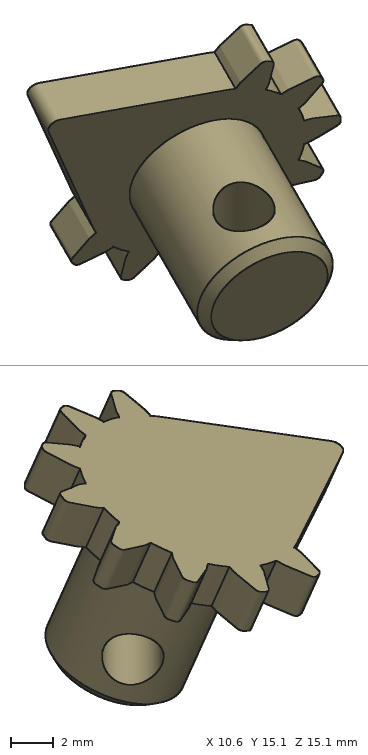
import cadquery as cq
import math

overall_size = 15.1
overall_length = 10.6
plate_thickness = 2.4

root_radius = 5.59
corner_direction = 45.0
corner_half_angle = 30.0
corner_round = 0.5

first_tooth_angle = 120.0
tooth_pitch = 30.0
tooth_count = 8
tooth_root_half_width = 0.9
flank_start_distance = 5.93
flank_start_half_width = 0.85
tooth_tip_half_width = 0.33
tooth_tip_round = 0.3

shaft_diameter = 7.0
shaft_chamfer = 0.5
cross_hole_diameter = 2.9
cross_hole_x = 7.7

corner_round_distance = (root_radius - corner_round) / math.sin(math.radians(corner_half_angle))
corner_reach = corner_round_distance * math.cos(math.radians(corner_direction)) + corner_round
tip_radius = overall_size - corner_reach


def polar(radius, angle):
    """Point in the sketch plane, with the angle in degrees."""
    return (radius * math.cos(math.radians(angle)), radius * math.sin(math.radians(angle)))


plate_plane = cq.Plane(origin=(0, 0, 0), xDir=(0, -1, 0), normal=(-1, 0, 0))


def make_hub():
    tangent_offset = 90.0 - corner_half_angle
    corner_distance = root_radius / math.sin(math.radians(corner_half_angle))
    corner = (
        cq.Workplane(plate_plane)
        .polyline([
            (0, 0),
            polar(root_radius, corner_direction - tangent_offset),
            polar(corner_distance, corner_direction),
            polar(root_radius, corner_direction + tangent_offset),
        ])
        .close()
        .extrude(-plate_thickness)
        .edges("|X")
        .edges(cq.selectors.DirectionMinMaxSelector(cq.Vector(0, -1, 1), True))
        .fillet(corner_round)
    )
    disc = cq.Workplane(plate_plane).circle(root_radius).extrude(-plate_thickness)
    return disc.union(corner)


def make_tooth(angle):
    root_distance = math.sqrt(root_radius**2 - tooth_root_half_width**2)
    tip_distance = math.sqrt(tip_radius**2 - tooth_tip_half_width**2)
    tooth = (
        cq.Workplane(plate_plane)
        .lineTo(root_distance, -tooth_root_half_width)
        .lineTo(flank_start_distance, -flank_start_half_width)
        .lineTo(tip_distance, -tooth_tip_half_width)
        .threePointArc((tip_radius, 0), (tip_distance, tooth_tip_half_width))
        .lineTo(flank_start_distance, flank_start_half_width)
        .lineTo(root_distance, tooth_root_half_width)
        .close()
        .extrude(-plate_thickness)
        .edges("|X")
        .edges("<Y")
        .fillet(tooth_tip_round)
    )
    return tooth.rotate((0, 0, 0), (-1, 0, 0), angle)


def make_shaft():
    return (
        cq.Workplane("YZ")
        .circle(shaft_diameter / 2)
        .extrude(overall_length)
        .faces(">X")
        .chamfer(shaft_chamfer)
    )


def make_cross_hole():
    return (
        cq.Workplane("XY")
        .center(cross_hole_x, 0)
        .circle(cross_hole_diameter / 2)
        .extrude(shaft_diameter / 2, both=True)
    )


plate = make_hub()
for tooth_index in range(tooth_count):
    plate = plate.union(make_tooth(first_tooth_angle + tooth_index * tooth_pitch))

result = plate.union(make_shaft()).cut(make_cross_hole())